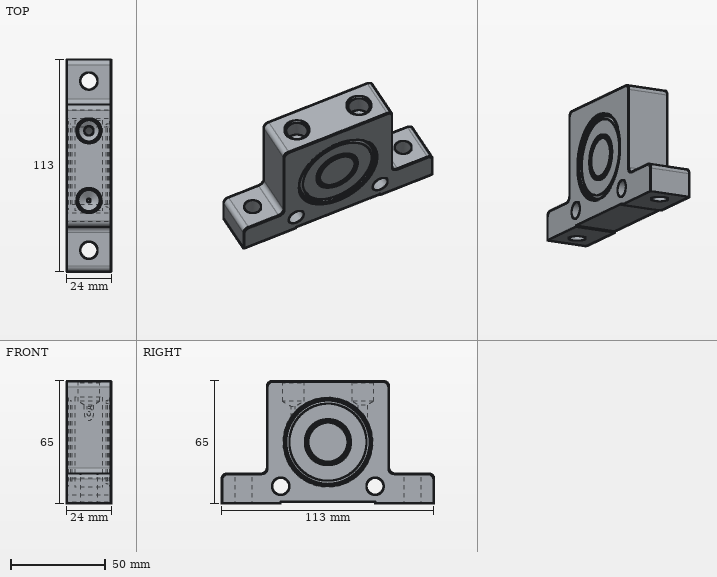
import cadquery as cq
import math

thickness = 24.0
length = 113.0
height = 65.0
tower_width = 65.0
foot_height = 15.8
corner_radius = 3.0
edge_chamfer = 0.4

relief_width = 50.2
relief_depth = 0.7

hole_diameter = 9.0
foot_hole_spacing = 90.0
cross_hole_spacing = relief_width
cross_hole_height = 9.0

center_height = height / 2
race_diameter = 47.9
race_width = 14.7
port_spacing = 37.1
port_diameter = 11.4
port_mouth_diameter = 13.3
port_depth = 10.7
drill_half_angle = 59.0
outlet_diameter = 5.0
inlet_diameter = 1.9

cover_diameter = 46.9
cover_recess = 1.0
groove_outer_diameter = 45.5
groove_bevel_diameter = 44.3
groove_inner_diameter = 41.0
groove_bevel_depth = 1.1
rings = [(24.5, 23.5, 0.5), (22.0, 20.8, 0.2)]


def make_body():
    """Extrude the stepped outline, round its corners and break its side edges."""
    half_tower = tower_width / 2
    half_length = length / 2
    outline = [
        (-half_length, 0),
        (half_length, 0),
        (half_length, foot_height),
        (half_tower, foot_height),
        (half_tower, height),
        (-half_tower, height),
        (-half_tower, foot_height),
        (-half_length, foot_height),
    ]
    body = cq.Workplane("YZ").polyline(outline).close().extrude(thickness / 2, both=True)
    above_bottom = cq.selectors.BoxSelector(
        (-thickness, -length, foot_height / 2), (thickness, length, height + foot_height)
    )
    body = body.edges("|X").edges(above_bottom).fillet(corner_radius)
    return body.faces("<X or >X").edges("not(<Z)").chamfer(edge_chamfer)


def make_relief():
    return cq.Workplane("XY").box(
        thickness, relief_width, relief_depth, centered=(True, True, False)
    )


def make_mounting_holes():
    """Two vertical holes through the foot and two cross holes along X."""
    foot_holes = (
        cq.Workplane("XY")
        .pushPoints([(0, -foot_hole_spacing / 2), (0, foot_hole_spacing / 2)])
        .circle(hole_diameter / 2)
        .extrude(height)
    )
    cross_holes = (
        cq.Workplane("YZ")
        .pushPoints(
            [(-cross_hole_spacing / 2, cross_hole_height), (cross_hole_spacing / 2, cross_hole_height)]
        )
        .circle(hole_diameter / 2)
        .extrude(thickness, both=True)
    )
    return foot_holes.union(cross_holes)


def make_raceway():
    return (
        cq.Workplane("YZ")
        .center(0, center_height)
        .circle(race_diameter / 2)
        .extrude(race_width / 2, both=True)
    )


def make_port(y, passage_diameter):
    """Chamfered port with a drill-point bottom and a narrow passage to the raceway."""
    port_radius = port_diameter / 2
    mouth_radius = port_mouth_diameter / 2
    passage_radius = passage_diameter / 2
    mouth_depth = mouth_radius - port_radius
    point_depth = (port_radius - passage_radius) / math.tan(math.radians(drill_half_angle))
    profile = [
        (0, height),
        (mouth_radius, height),
        (port_radius, height - mouth_depth),
        (port_radius, height - port_depth),
        (passage_radius, height - port_depth - point_depth),
        (passage_radius, center_height),
        (0, center_height),
    ]
    port = cq.Workplane("XZ").polyline(profile).close().revolve(360, (0, 0), (0, 1))
    return port.translate((0, y, 0))


def make_cover_cut():
    """Cover recess, round-bottomed groove and thin rings for the -X side."""
    face_x = -thickness / 2
    floor_x = face_x + cover_recess
    groove_outer = groove_outer_diameter / 2
    groove_inner = groove_inner_diameter / 2
    groove_bevel = groove_bevel_diameter / 2
    bevel_x = floor_x + groove_bevel_depth
    bottom_radius = (groove_bevel - groove_inner) / 2
    bottom_middle = (bevel_x + bottom_radius, groove_inner + bottom_radius)
    axis_plane = cq.Workplane("XY").workplane(offset=center_height)
    cut = (
        axis_plane.moveTo(face_x, 0)
        .lineTo(face_x, cover_diameter / 2)
        .lineTo(floor_x, cover_diameter / 2)
        .lineTo(floor_x, groove_outer)
        .lineTo(bevel_x, groove_bevel)
        .threePointArc(bottom_middle, (bevel_x, groove_inner))
        .lineTo(floor_x, groove_inner)
        .lineTo(floor_x, 0)
        .close()
        .revolve(360, (0, 0), (1, 0))
    )
    for outer, inner, depth in rings:
        ring = (
            cq.Workplane("YZ", origin=(floor_x, 0, center_height))
            .circle(outer / 2)
            .circle(inner / 2)
            .extrude(depth)
        )
        cut = cut.union(ring)
    return cut


cover_cut = make_cover_cut()
result = (
    make_body()
    .cut(make_relief())
    .cut(make_mounting_holes())
    .cut(make_raceway())
    .cut(make_port(port_spacing / 2, outlet_diameter))
    .cut(make_port(-port_spacing / 2, inlet_diameter))
    .cut(cover_cut)
    .cut(cover_cut.mirror("YZ"))
)